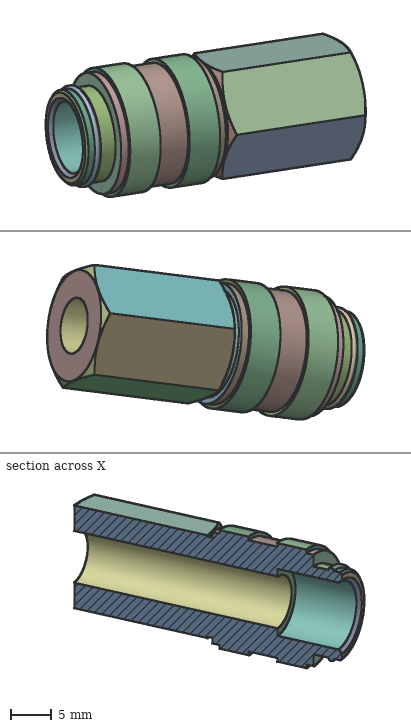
import cadquery as cq
import math

total_length = 38.0

socket_radius = 6.0
mouth_radius = 5.7
mouth_chamfer_length = 0.3
ring_radius = 6.4
ring_start = 1.18
ring_end = 1.98
sleeve_radius = 7.6
sleeve_start = 4.03
sleeve_end = 18.43
collar_radius = 8.1
front_collar_start = 5.05
collar_length = 4.18
rear_collar_start = 13.22
neck_radius = 6.85

hex_start = 19.05
hex_corner_radius = 8.1
hex_face_radius = 6.95
hex_chamfer_angle = 30.0

through_radius = 3.5
socket_bore_radius = 4.52
socket_bore_depth = 9.12
bore_mouth_radius = 5.0
bore_chamfer_length = 0.5


def cylinder(radius, start, end):
    """Cylinder along +Y between two stations."""
    plane = cq.Workplane("XZ", origin=(0, start, 0))
    return plane.circle(radius).extrude(start - end)


def revolve_profile(profile):
    """Turn a closed radius-against-Y profile about the Y axis."""
    return profile.close().revolve(360, (0, 0, 0), (0, 1, 0))


def make_socket_end():
    """Chamfered socket tube with a round-crested retaining ring."""
    crest_station = (ring_start + ring_end) / 2
    shoulder_radius = socket_radius + (ring_radius - socket_radius) * math.sin(math.pi / 4)
    shoulder_offset = (ring_end - ring_start) / 2 * math.cos(math.pi / 4)
    return revolve_profile(
        cq.Workplane("XY")
        .moveTo(0, 0)
        .lineTo(mouth_radius, 0)
        .lineTo(socket_radius, mouth_chamfer_length)
        .lineTo(socket_radius, ring_start)
        .threePointArc((shoulder_radius, crest_station - shoulder_offset), (ring_radius, crest_station))
        .threePointArc((shoulder_radius, crest_station + shoulder_offset), (socket_radius, ring_end))
        .lineTo(socket_radius, sleeve_start)
        .lineTo(0, sleeve_start)
    )


def make_sleeve():
    """Sliding sleeve with two grip collars."""
    sleeve = cylinder(sleeve_radius, sleeve_start, sleeve_end)
    for start in (front_collar_start, rear_collar_start):
        sleeve = sleeve.union(cylinder(collar_radius, start, start + collar_length))
    return sleeve


def make_nut():
    """Hexagon with corners on the X axis and conical chamfers at both ends."""
    hexagon = (
        cq.Workplane("XZ", origin=(0, hex_start, 0))
        .polygon(6, 2 * hex_corner_radius)
        .extrude(hex_start - total_length)
    )
    chamfer_slope = math.tan(math.radians(hex_chamfer_angle))
    chamfer_length = (hex_corner_radius - hex_face_radius) * chamfer_slope
    envelope = revolve_profile(
        cq.Workplane("XY")
        .moveTo(0, hex_start)
        .lineTo(hex_face_radius, hex_start)
        .lineTo(hex_corner_radius, hex_start + chamfer_length)
        .lineTo(hex_corner_radius, total_length - chamfer_length)
        .lineTo(hex_face_radius, total_length)
        .lineTo(0, total_length)
    )
    return hexagon.intersect(envelope)


def make_bore():
    """Stepped through bore with a conical lead-in at the socket mouth."""
    return revolve_profile(
        cq.Workplane("XY")
        .moveTo(0, 0)
        .lineTo(bore_mouth_radius, 0)
        .lineTo(socket_bore_radius, bore_chamfer_length)
        .lineTo(socket_bore_radius, socket_bore_depth)
        .lineTo(through_radius, socket_bore_depth)
        .lineTo(through_radius, total_length)
        .lineTo(0, total_length)
    )


neck = cylinder(neck_radius, sleeve_end, hex_start)
body = make_socket_end().union(make_sleeve()).union(neck).union(make_nut())
result = body.cut(make_bore())